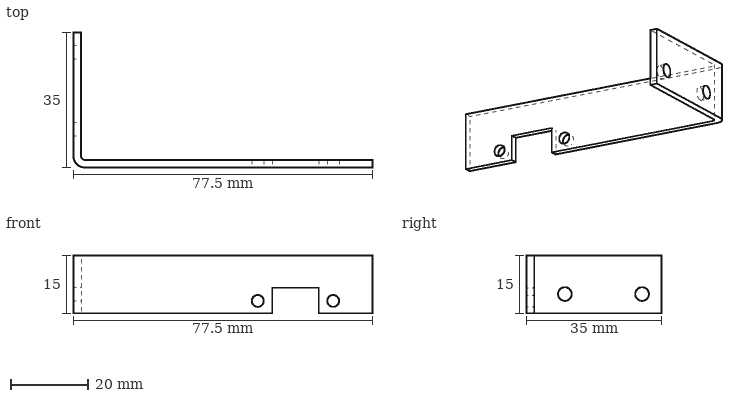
import cadquery as cq

length = 77.5
depth = 35.0
height = 15.0
thickness = 2.0

inner_bend_radius = 1.0
outer_bend_radius = inner_bend_radius + thickness

notch_start = 51.5
notch_width = 12.0
notch_height = 6.7

long_hole_diameter = 3.0
long_hole_spacing = 19.5
long_hole_height = 3.25

short_hole_diameter = 3.5
short_hole_spacing = 20.0
short_hole_end_distance = 5.0
short_hole_height = 5.0


def bent_strip():
    """L-shaped strip with its outer corner at the origin and a rounded bend."""
    strip = (
        cq.Workplane("XY")
        .polyline([
            (0, 0),
            (length, 0),
            (length, thickness),
            (thickness, thickness),
            (thickness, depth),
            (0, depth),
        ])
        .close()
        .extrude(height)
    )
    outer_corner = cq.selectors.NearestToPointSelector((0, 0, height / 2))
    strip = strip.edges("|Z").edges(outer_corner).fillet(outer_bend_radius)
    inner_corner = cq.selectors.NearestToPointSelector((thickness, thickness, height / 2))
    return strip.edges("|Z").edges(inner_corner).fillet(inner_bend_radius)


def notch():
    """Rectangular cutter for the notch, through the long leg."""
    return (
        cq.Workplane("XY")
        .box(notch_width, thickness, notch_height, centered=False)
        .translate((notch_start, 0, 0))
    )


def long_leg_holes():
    """Cutters along Y for the pair of holes beside the notch."""
    notch_centre = notch_start + notch_width / 2
    centres = [
        (notch_centre + side * long_hole_spacing / 2, long_hole_height)
        for side in (-1, 1)
    ]
    return (
        cq.Workplane("XZ")
        .pushPoints(centres)
        .circle(long_hole_diameter / 2)
        .extrude(-thickness)
    )


def short_leg_holes():
    """Cutters along X for the pair of holes in the short leg."""
    far_hole = depth - short_hole_end_distance
    centres = [
        (far_hole - index * short_hole_spacing, short_hole_height)
        for index in range(2)
    ]
    return (
        cq.Workplane("YZ")
        .pushPoints(centres)
        .circle(short_hole_diameter / 2)
        .extrude(thickness)
    )


result = bent_strip().cut(notch()).cut(long_leg_holes()).cut(short_leg_holes())